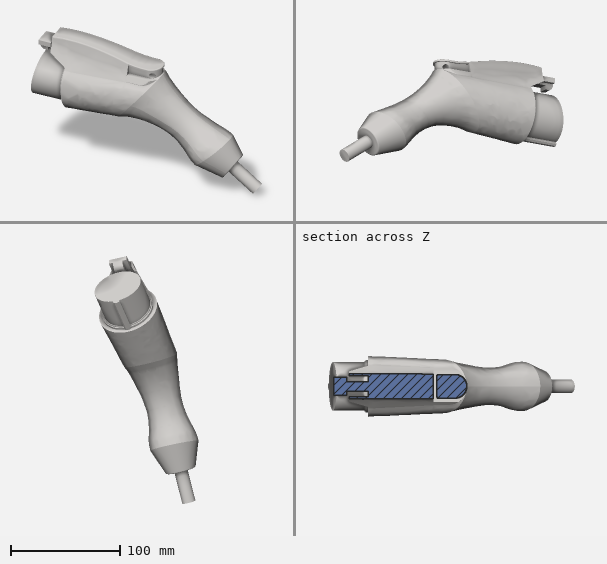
import cadquery as cq


overlap = 2.3

plug_radius = 22.1
plug_top_x = 8.0
key_bottom_z = -25.3
key_width = 6.3
key_chamfer = 1.5
collar_radius = 24.1
collar_step_radius = 23.0
collar_x = 34.3
collar_step_x = 33.5
collar_key_width = 4.5

body_x = 36.3
body_width = 55.7
body_radius = body_width / 2
body_end = ((126.5, 28.0), (84.0, -24.5), 24.5)
grip_sections = [
    body_end,
    ((136.5, 14.0), (105.2, -22.0), 21.0),
    ((153.7, -2.0), (125.5, -25.5), 17.5),
    ((169.3, -12.2), (141.3, -33.6), 17.5),
    ((182.0, -18.5), (152.0, -44.2), 20.8),
    ((194.0, -24.5), (161.5, -54.8), 22.5),
]
cap_section = grip_sections[-1]
cap_end = ((205.4, -41.3), (189.3, -64.3), 14.0)
cap_fillet = 1.4

cable_diameter = 12.5
cable_radius = cable_diameter / 2
cable_end = (222.0, -70.5)

hood_x = 19.2
hood_step_x = 96.5
hood_end_x = 127.0
hood_front_z = 45.4
hood_peak_z = 46.5
hood_slope_x = 65.5
hood_slope_z = 44.2
hood_step_z = 37.7
hood_floor_z = 19.2
hood_lip_z = 30.7
hood_lip_end_z = 21.5
hood_edge_fillet = 1.4
ledge_z = 26.5
ledge_end_radius = 17.0
hood_section_top_z = hood_peak_z + overlap
hood_front_flank = [(9.5, hood_section_top_z), (12.6, 33.0), (15.8, 27.0), (20.8, hood_floor_z)]
hood_rear_flank = [(9.3, hood_section_top_z), (12.0, 33.0), (14.0, 27.0), (18.5, hood_floor_z)]
cavity_flank = [(8.1, 44.0), (10.0, 33.9), (14.5, 24.8), (17.2, hood_floor_z)]

latch_x = 4.7
latch_head_end_x = 17.2
latch_top_z = 37.5
latch_bottom_z = 32.7
latch_half_width = 8.5
neck_half_width = 4.5
hook_bottom_z = 26.5
hook_slope_end_x = 9.0
hook_end_x = 12.6
arm_bottom_z = 30.5
hook_middle_x = 6.5
hook_middle_z = 27.5

button_half_width = 11.0
button_plate_thickness = 2.0
button_dip_z = 36.0
button_end_z = 37.2
button_inset = 1.5
button_edge_fillet = 1.0
hole_x = 119.8
hole_z = 29.3
hole_radius = 2.7


def side_prism(outline, half_width):
    """Extrude a closed X-Z outline symmetrically about the middle plane."""
    return outline.close().extrude(2 * half_width).translate((0, half_width, 0))


def side_box(x0, x1, z0, z1, half_width):
    box = cq.Workplane("XY").box(x1 - x0, 2 * half_width, z1 - z0, centered=False)
    return box.translate((x0, -half_width, z0))


def x_cylinder(radius, x0, x1):
    return cq.Workplane("YZ", origin=(x0, 0, 0)).circle(radius).extrude(x1 - x0)


def oval_wire(section):
    """Ellipse whose upright diameter joins the top and bottom points."""
    (top_x, top_z), (bottom_x, bottom_z), half_width = section
    center = cq.Vector((top_x + bottom_x) / 2, 0, (top_z + bottom_z) / 2)
    up = cq.Vector(top_x - bottom_x, 0, top_z - bottom_z)
    normal = cq.Vector(up.z, 0, -up.x)
    plane = cq.Plane(origin=center, xDir=up, normal=normal)
    return cq.Workplane(plane).ellipse(up.Length / 2, half_width).wires().val()


def oval_loft(sections, ruled):
    return cq.Workplane(cq.Solid.makeLoft([oval_wire(s) for s in sections], ruled))


def make_plug():
    plug = x_cylinder(plug_radius, 0, body_x)
    key = side_box(0, body_x, key_bottom_z, 0, key_width / 2)
    key = key.edges("|X and <Z").chamfer(key_chamfer)
    face_slope = plug_top_x / (plug_radius - key_bottom_z)
    reach_z = 2 * plug_radius
    keep = side_prism(
        cq.Workplane("XZ")
        .moveTo(face_slope * (-reach_z - key_bottom_z), -reach_z)
        .lineTo(face_slope * (reach_z - key_bottom_z), reach_z)
        .lineTo(body_x, reach_z)
        .lineTo(body_x, -reach_z),
        body_radius,
    )
    collar = x_cylinder(collar_radius, collar_x, body_x)
    collar_step = x_cylinder(collar_step_radius, collar_step_x, body_x)
    notch = side_box(collar_step_x, body_x, plug_radius, body_radius, collar_key_width / 2)
    return plug.union(key).intersect(keep).union(collar.union(collar_step).cut(notch))


def make_body():
    front = ((body_x, body_radius), (body_x, -body_radius), body_radius)
    barrel = oval_loft([front, body_end], True)
    grip = oval_loft(grip_sections, False)
    cap = oval_loft([cap_section, cap_end], True)
    cap = cap.faces(cq.selectors.NearestToPointSelector(midpoint(cap_end))).edges().fillet(cap_fillet)
    return barrel.union(grip).union(cap)


def midpoint(section):
    (top_x, top_z), (bottom_x, bottom_z), _ = section
    return ((top_x + bottom_x) / 2, 0, (top_z + bottom_z) / 2)


def make_cable():
    end = cq.Vector(cable_end[0], 0, cable_end[1])
    start = cq.Vector(midpoint(cap_end))
    axis = end - start
    return cq.Workplane(cq.Solid.makeCylinder(cable_radius, 2 * axis.Length, end, axis * -1))


def hood_wire(x, half_section):
    """Closed symmetric Y-Z outline with curved flanks through (half width, z) points, listed top down."""
    mirrored = [(-y, z) for y, z in reversed(half_section)]
    outline = (
        cq.Workplane("YZ", origin=(x, 0, 0))
        .moveTo(*half_section[0])
        .spline(half_section[1:], includeCurrent=True)
        .lineTo(*mirrored[0])
        .spline(mirrored[1:], includeCurrent=True)
        .close()
    )
    return outline.wires().val()


def flared_loft(front, rear, x0, x1):
    return cq.Workplane(cq.Solid.makeLoft([hood_wire(x0, front), hood_wire(x1, rear)], True))


def hood_plan(half_width, end_x):
    """Tall prism whose plan is a strip with a round rear end."""
    strip = side_box(hood_x, end_x - half_width, 0, hood_peak_z, half_width)
    end = cq.Workplane("XY").center(end_x - half_width, 0).circle(half_width).extrude(hood_peak_z)
    return strip.union(end)


def make_hood():
    shell = flared_loft(hood_front_flank, hood_rear_flank, hood_x, hood_step_x)
    profile = side_prism(
        cq.Workplane("XZ")
        .moveTo(hood_x, hood_lip_z)
        .lineTo(hood_x, hood_front_z)
        .spline(
            [(body_x, hood_peak_z), (hood_slope_x, hood_slope_z), (hood_step_x, hood_step_z)],
            includeCurrent=True,
        )
        .lineTo(hood_step_x, hood_floor_z)
        .lineTo(body_x, hood_floor_z)
        .lineTo(body_x, hood_lip_end_z),
        body_radius,
    )
    shell = shell.intersect(profile)
    long_top_edges = cq.selectors.BoxSelector(
        (hood_x + overlap, -body_radius, hood_step_z),
        (hood_step_x - overlap, body_radius, hood_peak_z + overlap),
    )
    shell = shell.edges(long_top_edges).fillet(hood_edge_fillet)
    cavity = flared_loft(cavity_flank, cavity_flank, hood_x, body_x)
    ledge = flared_loft(hood_rear_flank, hood_rear_flank, hood_step_x, hood_end_x)
    ledge = ledge.intersect(side_box(hood_step_x, hood_end_x, hood_floor_z, ledge_z, body_radius))
    ledge = ledge.intersect(hood_plan(ledge_end_radius, hood_end_x))
    return shell.cut(cavity).union(ledge)


def make_latch():
    head = side_box(latch_x, latch_head_end_x, latch_bottom_z, latch_top_z, latch_half_width)
    arm = side_prism(
        cq.Workplane("XZ")
        .moveTo(latch_x, latch_top_z)
        .lineTo(body_x, latch_top_z)
        .lineTo(body_x, arm_bottom_z)
        .lineTo(hook_end_x, arm_bottom_z)
        .lineTo(hook_end_x, hook_bottom_z)
        .lineTo(hook_slope_end_x, hook_bottom_z)
        .threePointArc((hook_middle_x, hook_middle_z), (latch_x, arm_bottom_z)),
        neck_half_width,
    )
    return head.union(arm)


def make_button():
    dip_x = (hood_step_x + hood_end_x) / 2
    plate = side_prism(
        cq.Workplane("XZ")
        .moveTo(hood_step_x, hood_step_z)
        .threePointArc((dip_x, button_dip_z), (hood_end_x, button_end_z))
        .lineTo(hood_end_x, button_end_z - button_plate_thickness)
        .threePointArc(
            (dip_x, button_dip_z - button_plate_thickness),
            (hood_step_x, hood_step_z - button_plate_thickness),
        ),
        button_half_width,
    ).intersect(hood_plan(button_half_width, hood_end_x))
    upper_rim = cq.selectors.BoxSelector(
        (hood_step_x + overlap, -body_radius, button_dip_z - button_plate_thickness / 4),
        (hood_end_x + overlap, body_radius, hood_peak_z),
    )
    plate = plate.edges(upper_rim).fillet(button_edge_fillet)
    block_top_z = button_dip_z - button_plate_thickness / 2
    block = side_box(hood_step_x, hood_end_x, 0, block_top_z, button_half_width)
    block = block.intersect(hood_plan(button_half_width - button_inset, hood_end_x - button_inset))
    return plate.union(block)


pivot_hole = (
    cq.Workplane("XZ").center(hole_x, hole_z).circle(hole_radius).extrude(body_radius, both=True)
)

result = (
    make_body()
    .union(make_plug())
    .union(make_cable())
    .union(make_hood())
    .union(make_latch())
    .union(make_button())
    .cut(pivot_hole)
)